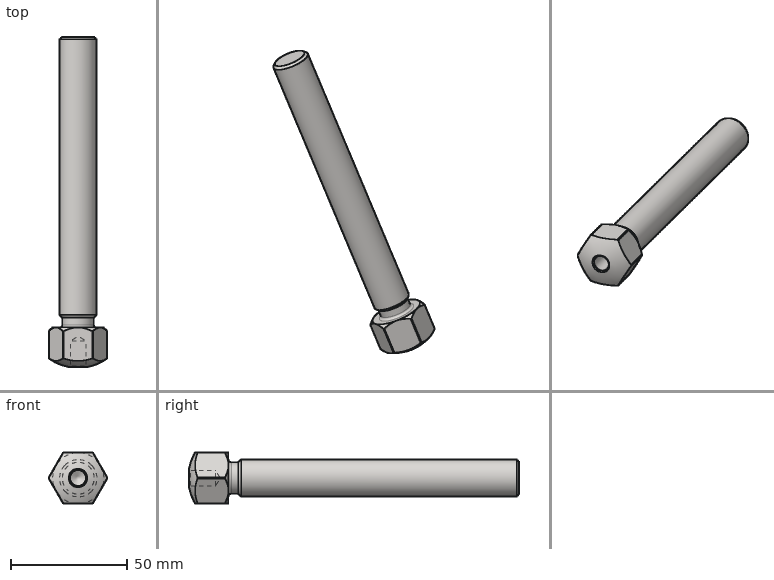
import cadquery as cq
import math

total_length = 142.0
rod_radius = 8.02
relief_radius = 6.8
relief_length = 4.1
shoulder_length = 1.3
relief_fillet = 1.1
tip_chamfer = 1.1
across_flats = 22.0
blank_diameter = 25.1
head_height = 17.0
dome_radius = 21.3
head_chamfer_angle = math.radians(44)

hole_radius = 3.4
mouth_radius = 4.0
mouth_depth = 0.5
hole_depth = 11.4
drill_point_angle = math.radians(118)

corner_radius = across_flats / math.sqrt(3)
head_front = -total_length / 2
head_back = head_front + head_height
tip = total_length / 2
dome_cut = dome_radius - math.sqrt(dome_radius**2 - mouth_radius**2)
dome_apex = head_front - dome_cut


def revolve_about_axis(outline):
    """Turn a closed (radius, Y) outline around the screw axis."""
    return outline.close().revolve(360, (0, 0, 0), (0, 1, 0))


def make_head():
    """Hexagon with corners on X trimmed by the round blank, domed in front and chamfered behind."""
    hexagon = (
        cq.Workplane("XZ", origin=(0, head_back, 0))
        .polygon(6, 2 * corner_radius)
        .extrude(head_back - dome_apex)
    )
    outer_radius = blank_diameter / 2
    flat_radius = across_flats / 2
    chamfer_length = (outer_radius - flat_radius) * math.tan(head_chamfer_angle)

    def dome_y(radius):
        return dome_apex + dome_radius - math.sqrt(dome_radius**2 - radius**2)

    turned_envelope = revolve_about_axis(
        cq.Workplane("XY")
        .moveTo(0, dome_apex)
        .threePointArc(
            (outer_radius / 2, dome_y(outer_radius / 2)),
            (outer_radius, dome_y(outer_radius)),
        )
        .lineTo(outer_radius, head_back - chamfer_length)
        .lineTo(flat_radius, head_back)
        .lineTo(0, head_back)
    )
    return hexagon.intersect(turned_envelope)


def make_shank():
    """Rod with a chamfered tip and a relief neck filleted into the head."""
    relief_end = head_back + relief_length
    fillet_offset = relief_fillet * (1 - math.sqrt(0.5))

    return revolve_about_axis(
        cq.Workplane("XY")
        .moveTo(0, head_back)
        .lineTo(relief_radius + relief_fillet, head_back)
        .threePointArc(
            (relief_radius + fillet_offset, head_back + fillet_offset),
            (relief_radius, head_back + relief_fillet),
        )
        .lineTo(relief_radius, relief_end)
        .lineTo(rod_radius, relief_end + shoulder_length)
        .lineTo(rod_radius, tip - tip_chamfer)
        .lineTo(rod_radius - tip_chamfer, tip)
        .lineTo(0, tip)
    )


def make_hole():
    """Flared mouth, straight bore and conical drill point."""
    bore_end = head_front + hole_depth
    point_length = hole_radius / math.tan(drill_point_angle / 2)
    return revolve_about_axis(
        cq.Workplane("XY")
        .moveTo(0, dome_apex)
        .lineTo(mouth_radius, dome_apex)
        .lineTo(mouth_radius, head_front)
        .lineTo(hole_radius, head_front + mouth_depth)
        .lineTo(hole_radius, bore_end)
        .lineTo(0, bore_end + point_length)
    )


result = make_head().union(make_shank()).cut(make_hole())